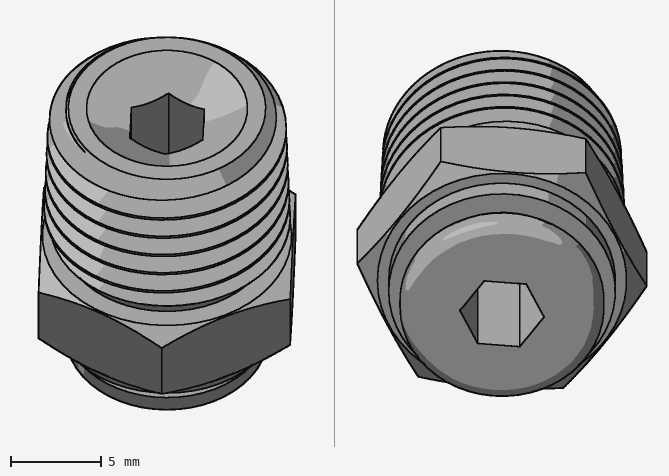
import cadquery as cq
import math

total_height = 18.71
lip_top = 1.45
groove_top = 2.45
hex_bottom = 3.61
hex_top = 8.51
neck_top = 8.96

lip_diameter = 11.34
lip_fillet = 0.77
groove_diameter = 10.2
collar_diameter = 12.6

hex_across_flats = 14.0
hex_face_radius = 6.92
hex_corner_drop = 0.62

neck_radius = 5.84
thread_base_radius = 6.89
taper = 1 / 32
five_turn_rise = 7.05
thread_pitch = five_turn_rise / 5
thread_depth = 0.97
root_flat = 0.13
flank_angle = 30.0
groove_start = 7.69
tip_radius = 5.48
spare_length = 2.8

socket_across_flats = 4.06
countersink_diameter = 8.95
countersink_half_angle = 60.0

overshoot = 0.04


def disc(diameter, bottom, top):
    return cq.Workplane("XY").workplane(offset=bottom).circle(diameter / 2).extrude(top - bottom)


def hex_prism(across_flats, bottom, top):
    """Hexagonal prism turned half a side, so that corners lie on the Y axis."""
    corner_diameter = across_flats / math.cos(math.pi / 6)
    prism = cq.Workplane("XY").workplane(offset=bottom).polygon(6, corner_diameter).extrude(top - bottom)
    return prism.rotate((0, 0, 0), (0, 0, 1), 30)


def revolved(points):
    return cq.Workplane("XZ").polyline(points).close().revolve(360, (0, 0, 0), (0, 1, 0))


def lower_end():
    lip = disc(lip_diameter, 0, lip_top).faces("<Z").edges().fillet(lip_fillet)
    stem = disc(groove_diameter, lip_fillet, groove_top)
    collar = disc(collar_diameter, groove_top, hex_bottom)
    return lip.union(stem).union(collar)


def wrench_hex():
    corner_radius = hex_across_flats / 2 / math.cos(math.pi / 6)
    envelope = revolved([
        (0, hex_bottom),
        (hex_face_radius, hex_bottom),
        (corner_radius, hex_bottom + hex_corner_drop),
        (corner_radius, hex_top - hex_corner_drop),
        (hex_face_radius, hex_top),
        (0, hex_top),
    ])
    return hex_prism(hex_across_flats, hex_bottom, hex_top).intersect(envelope)


def crest_radius(height):
    return thread_base_radius - taper * (height - neck_top)


def long_cone():
    """Tapered rod that reaches past both ends of the thread and of its groove."""
    bottom = groove_start - spare_length
    top = total_height + thread_pitch + spare_length
    return revolved([
        (0, bottom),
        (crest_radius(bottom), bottom),
        (crest_radius(top), top),
        (0, top),
    ])


def thread_envelope():
    """Tapered body with 45 degree chamfers at both ends."""
    lower_rise = (thread_base_radius - neck_radius) / (1 + taper)
    upper_drop = (crest_radius(total_height) - tip_radius) / (1 - taper)
    return revolved([
        (0, neck_top),
        (neck_radius, neck_top),
        (neck_radius + lower_rise, neck_top + lower_rise),
        (tip_radius + upper_drop, total_height - upper_drop),
        (tip_radius, total_height),
        (0, total_height),
    ])


def thread_groove():
    """V-shaped cutter swept along a helix that follows the taper."""
    root_radius = crest_radius(groove_start) - thread_depth
    outer_radius = root_radius + thread_depth + overshoot
    half_root = root_flat / 2
    half_mouth = half_root + (thread_depth + overshoot) * math.tan(math.radians(flank_angle))
    helix = cq.Wire.makeHelix(
        thread_pitch,
        total_height + thread_pitch - groove_start,
        root_radius,
        center=cq.Vector(0, 0, groove_start),
        angle=-math.degrees(math.atan(taper)),
    )
    profile = cq.Workplane("XZ").polyline([
        (root_radius, groove_start - half_root),
        (outer_radius, groove_start - half_mouth),
        (outer_radius, groove_start + half_mouth),
        (root_radius, groove_start + half_root),
    ]).close()
    return profile.sweep(cq.Workplane(helix), isFrenet=True)


def socket():
    countersink_radius = countersink_diameter / 2
    depth = countersink_radius / math.tan(math.radians(countersink_half_angle))
    cone = revolved([
        (0, total_height - depth),
        (countersink_radius, total_height),
        (0, total_height),
    ])
    return hex_prism(socket_across_flats, -overshoot, total_height + overshoot).union(cone)


thread = long_cone().cut(thread_groove()).intersect(thread_envelope())
neck = disc(2 * neck_radius, hex_top, neck_top)
result = lower_end().union(wrench_hex()).union(neck).union(thread).cut(socket())